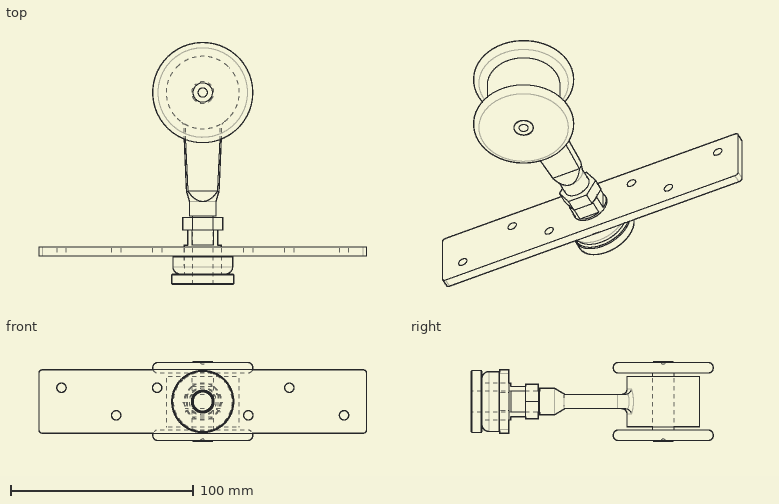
import cadquery as cq
import math


wheel_diameter = 55.0
wheel_thickness = 6.0
wheels_outer_span = 43.0
pin_length = 43.7
pin_end_diameter = 10.6
axle_diameter = 12.0
centre_hole_diameter = 5.0
centre_hole_angle = 118.0

barrel_diameter = 40.0
barrel_height = 27.7
arm_root_radius = 10.3
arm_taper_start_reach = 25.0
arm_shoulder_radius = 9.0
arm_shoulder_reach = 54.4
arm_thickness = 8.0
arm_flat_end_reach = 54.0
arm_fillet = 2.9
neck_diameter = 14.8
neck_start_reach = 59.8
neck_end_reach = 67.9
stud_diameter = 11.5
stud_chamfer = 0.5

nut_across_flats = 19.0
nut_start_reach = 68.5
nut_thickness = 7.0

sleeve_diameter = 20.3
sleeve_across_flats = 16.7
sleeve_flats_end_reach = 83.7
sleeve_head_diameter = 34.2
sleeve_head_thickness = 6.0
sleeve_head_chamfer = 0.5
sleeve_mouth_chamfer = 0.5

plate_length = 180.0
plate_height = 35.0
plate_thickness = 5.0
plate_start_reach = 84.8
plate_corner_radius = 2.0
screw_hole_diameter = 5.0
screw_hole_z = 7.5
upper_screw_hole_xs = (-77.5, -25.0, 47.5)

collar_diameter = 33.0
collar_thickness = 9.7
collar_fillet = 3.8
collar_chamfer = 0.4

sleeve_start_reach = nut_start_reach + nut_thickness
plate_end_reach = plate_start_reach + plate_thickness
head_start_reach = plate_end_reach + collar_thickness
head_end_reach = head_start_reach + sleeve_head_thickness


def plane_at_reach(reach):
    """Plane across the bolt axis, facing -Y, with local x along X and local y along Z."""
    return cq.Workplane("XZ", origin=(0, -reach, 0))


def bolt_cylinder(diameter, start_reach, end_reach):
    """Cylinder on the bolt axis between two reaches."""
    return plane_at_reach(start_reach).circle(diameter / 2).extrude(end_reach - start_reach)


def upright_cylinder(diameter, height):
    """Cylinder on the roller axle, centred on the origin."""
    return cq.Workplane("XY").circle(diameter / 2).extrude(height / 2, both=True)


def make_wheelset():
    """Two round-rimmed wheels on one axle, whose pin ends stand proud and are centre drilled."""
    rim_radius = wheel_thickness / 2
    flat_radius = wheel_diameter / 2 - rim_radius
    outer_z = wheels_outer_span / 2
    inner_z = outer_z - wheel_thickness
    wheel = (
        cq.Workplane("XZ")
        .moveTo(0, inner_z)
        .lineTo(flat_radius, inner_z)
        .threePointArc((wheel_diameter / 2, inner_z + rim_radius), (flat_radius, outer_z))
        .lineTo(0, outer_z)
        .close()
        .revolve(360, (0, 0), (0, 1))
    )
    hole_radius = centre_hole_diameter / 2
    hole_depth = hole_radius / math.tan(math.radians(centre_hole_angle / 2))
    centre_hole = cq.Workplane(
        cq.Solid.makeCone(0, hole_radius, hole_depth, pnt=cq.Vector(0, 0, pin_length / 2 - hole_depth))
    )
    return (
        upright_cylinder(axle_diameter, 2 * inner_z)
        .union(wheel)
        .union(wheel.mirror("XY"))
        .union(upright_cylinder(pin_end_diameter, pin_length))
        .cut(centre_hole)
        .cut(centre_hole.mirror("XY"))
    )


def make_arm():
    """Turned taper and neck, milled flat above and below with a sloping run-out to the neck."""
    neck_radius = neck_diameter / 2
    taper = (
        cq.Workplane("XY")
        .lineTo(arm_root_radius, 0)
        .lineTo(arm_root_radius, -arm_taper_start_reach)
        .lineTo(arm_shoulder_radius, -arm_shoulder_reach)
        .lineTo(neck_radius, -neck_start_reach)
        .lineTo(neck_radius, -neck_end_reach)
        .lineTo(0, -neck_end_reach)
        .close()
        .revolve(360, (0, 0), (0, 1))
    )
    half_thickness = arm_thickness / 2
    side_outline = (
        cq.Workplane("YZ")
        .moveTo(0, -half_thickness)
        .lineTo(-arm_flat_end_reach, -half_thickness)
        .lineTo(-neck_start_reach, -neck_radius)
        .lineTo(-neck_end_reach, -neck_radius)
        .lineTo(-neck_end_reach, neck_radius)
        .lineTo(-neck_start_reach, neck_radius)
        .lineTo(-arm_flat_end_reach, half_thickness)
        .lineTo(0, half_thickness)
        .close()
        .extrude(arm_root_radius, both=True)
    )
    return taper.intersect(side_outline)


def make_hanger():
    """Barrel with its arm blended on, bored for the axle, and the stud, flush with the sleeve head."""
    blend_zone = cq.selectors.BoxSelector(
        (-arm_root_radius, -barrel_diameter / 2, -arm_thickness),
        (arm_root_radius, 0, arm_thickness),
    )
    stud = bolt_cylinder(stud_diameter, neck_end_reach, head_end_reach)
    stud = stud.faces("<Y").chamfer(stud_chamfer)
    return (
        upright_cylinder(barrel_diameter, barrel_height)
        .union(make_arm())
        .edges(blend_zone)
        .fillet(arm_fillet)
        .cut(upright_cylinder(axle_diameter, barrel_height))
        .union(stud)
    )


def make_lock_nut():
    """Plain hexagon nut with two corners pointing along X."""
    across_corners = nut_across_flats / math.cos(math.pi / 6)
    return (
        plane_at_reach(nut_start_reach)
        .polygon(6, across_corners)
        .circle(stud_diameter / 2)
        .extrude(nut_thickness)
    )


def make_sleeve():
    """Sleeve on the stud: four spanner flats, a shank through plate and collar, and a round head."""
    square = (
        plane_at_reach(sleeve_start_reach)
        .rect(sleeve_across_flats, sleeve_across_flats)
        .extrude(sleeve_flats_end_reach - sleeve_start_reach)
    )
    flats = square.intersect(bolt_cylinder(sleeve_diameter, sleeve_start_reach, sleeve_flats_end_reach))
    shank = bolt_cylinder(sleeve_diameter, sleeve_flats_end_reach, head_start_reach)
    head = (
        bolt_cylinder(sleeve_head_diameter, head_start_reach, head_end_reach)
        .edges()
        .chamfer(sleeve_head_chamfer)
    )
    bore = bolt_cylinder(stud_diameter, sleeve_start_reach, head_end_reach)
    return (
        flats.union(shank)
        .union(head)
        .cut(bore)
        .faces("<Y")
        .edges(cq.selectors.RadiusNthSelector(0))
        .chamfer(sleeve_mouth_chamfer)
    )


def make_plate():
    """Mounting plate with rounded corners, a sleeve hole and six staggered screw holes."""
    hole_points = [(x, screw_hole_z) for x in upper_screw_hole_xs]
    hole_points += [(-x, -screw_hole_z) for x in upper_screw_hole_xs]
    screw_holes = (
        plane_at_reach(plate_start_reach)
        .pushPoints(hole_points)
        .circle(screw_hole_diameter / 2)
        .extrude(plate_thickness)
    )
    return (
        plane_at_reach(plate_start_reach)
        .rect(plate_length, plate_height)
        .extrude(plate_thickness)
        .edges("|Y")
        .fillet(plate_corner_radius)
        .cut(bolt_cylinder(sleeve_diameter, plate_start_reach, plate_end_reach))
        .cut(screw_holes)
    )


def make_collar():
    """Thrust collar between plate and sleeve head, rounded at the head and chamfered at the plate."""
    return (
        bolt_cylinder(collar_diameter, plate_end_reach, head_start_reach)
        .faces("<Y")
        .edges()
        .fillet(collar_fillet)
        .faces(">Y")
        .edges()
        .chamfer(collar_chamfer)
        .cut(bolt_cylinder(sleeve_diameter, plate_end_reach, head_start_reach))
    )


wheelset = make_wheelset()
hanger = make_hanger()
lock_nut = make_lock_nut()
sleeve = make_sleeve()
plate = make_plate()
collar = make_collar()

result = cq.Compound.makeCompound(
    [wheelset.val(), hanger.val(), lock_nut.val(), sleeve.val(), plate.val(), collar.val()]
)